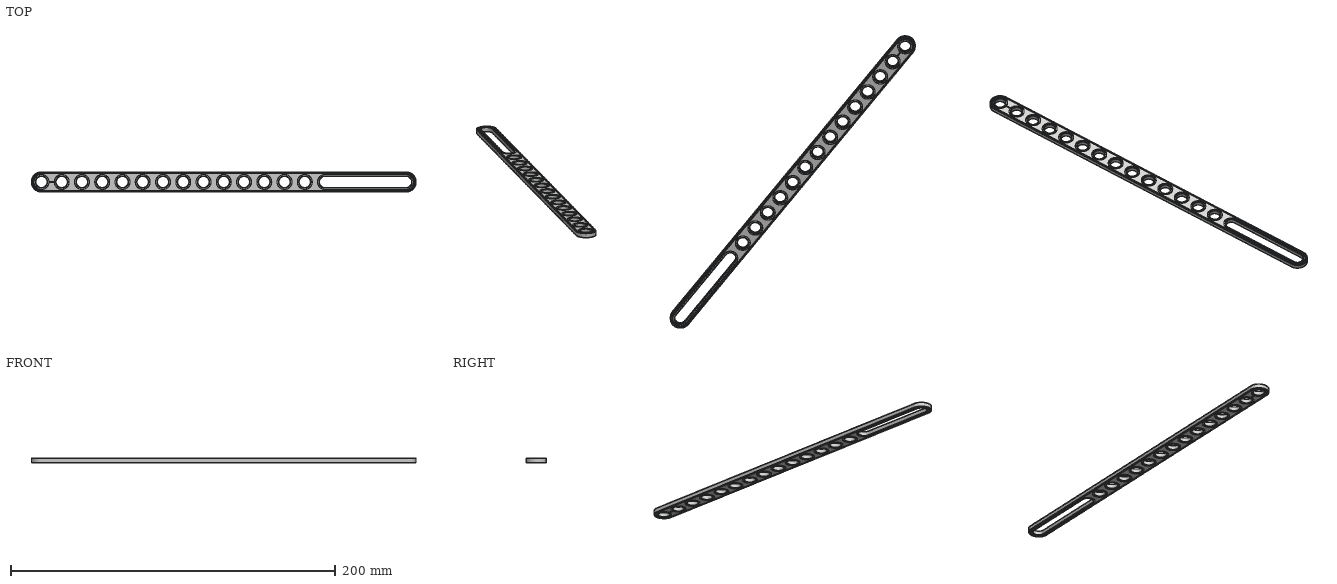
import cadquery as cq

length = 237.5
thickness = 3.0
pitch_count = 19
hole_count = 14
hole_diameter = 7.0
collar_diameter = 9.3
rim_width = 1.0
recess_depth = 0.2
rib_width = 0.5
edge_chamfer = 0.3

pitch = length / pitch_count
width = pitch
end_center_x = (length - width) / 2
hole_xs = [-end_center_x + index * pitch for index in range(hole_count)]
rib_center_x = (hole_xs[0] + hole_xs[1]) / 2

slot_start_x = hole_xs[-1] + pitch
slot_center_x = (slot_start_x + end_center_x) / 2
slot_center_distance = end_center_x - slot_start_x

half_thickness = thickness / 2
recess_floor_z = half_thickness - recess_depth


def plane_at(z):
    return cq.Workplane("XY").workplane(offset=z)


def chamfered_prism(outline, side):
    """Full-thickness prism whose end edges are chamfered inward or outward.

    `outline(z, offset)` draws the section at height z, grown by `offset` all round.
    `side` is -1 to narrow the prism towards both faces and +1 to widen it.
    """
    straight_half_height = half_thickness - edge_chamfer
    middle = outline(0, 0).extrude(straight_half_height, both=True)
    flare = outline(straight_half_height, 0).extrude(edge_chamfer, taper=-side * 45)
    return middle.union(flare).union(flare.mirror("XY"))


def bar_outline(z, offset):
    return plane_at(z).slot2D(length + 2 * offset, width + 2 * offset)


def hole_outline(x):
    def outline(z, offset):
        return plane_at(z).center(x, 0).circle(hole_diameter / 2 + offset)

    return outline


def slot_outline(z, offset):
    slot_width = hole_diameter + 2 * offset
    return plane_at(z).center(slot_center_x, 0).slot2D(slot_center_distance + slot_width, slot_width)


def make_recess():
    """Upper recess: the area inside the rim, less the collars and the rib."""
    collar_growth = (collar_diameter - hole_diameter) / 2
    recess = bar_outline(recess_floor_z, -rim_width).extrude(recess_depth)
    for x in hole_xs:
        recess = recess.cut(hole_outline(x)(recess_floor_z, collar_growth).extrude(recess_depth))
    recess = recess.cut(slot_outline(recess_floor_z, collar_growth).extrude(recess_depth))
    rib = plane_at(recess_floor_z).center(rib_center_x, 0).rect(pitch, rib_width).extrude(recess_depth)
    return recess.cut(rib)


result = chamfered_prism(bar_outline, -1)

upper_recess = make_recess()
result = result.cut(upper_recess).cut(upper_recess.mirror("XY"))

for hole_x in hole_xs:
    result = result.cut(chamfered_prism(hole_outline(hole_x), 1))
result = result.cut(chamfered_prism(slot_outline, 1)).solids()